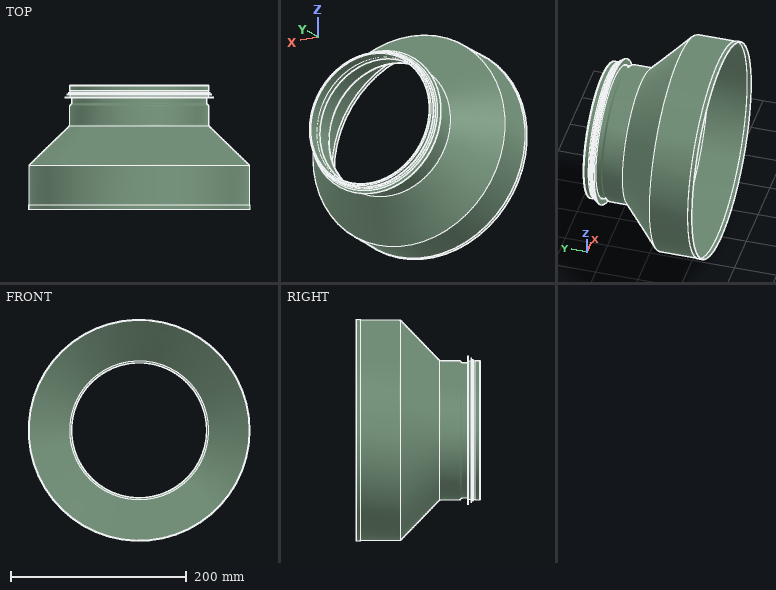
import cadquery as cq
import math


sheet = 0.5
total_length = 141.98

socket_inner_r = 125.2
socket_length = 50.55
socket_bend_r = 3.5
rim_hem_gap = 0.01
rim_hem_length = 5.1

spigot_inner_r = 79.0
spigot_length = 46.7
spigot_bend_r = 4.0

neck_inner_r = 76.6
neck_length = 21.3
neck_step_length = 2.5
step_bend_inner_r = 1.0
step_bend_outer_r = step_bend_inner_r + sheet
neck_hem_gap = spigot_inner_r - neck_inner_r - sheet
neck_hem_length = 6.4

gasket_inner_r = 77.7
gasket_outer_r = spigot_inner_r
small_fin_r = 80.6
large_fin_r = 82.2
flange_r = 84.7
small_fin_root = (7.85, 9.5)
small_fin_tip = (8.9, 9.55)
large_fin_root = (9.9, 11.2)
large_fin_tip = (10.4, 11.2)
flange_sides = (13.8, 15.1)

spigot_start = total_length - spigot_length
neck_start = total_length - neck_length
step_start = neck_start - neck_step_length


def hem_bend_r(gap):
    """Outer radius of the half-round fold that closes a hem."""
    return sheet + gap / 2


def outer_corner(before, corner, after):
    """Corner on the sheet's outer face that lies opposite an inner corner."""
    angle_in = math.atan2(corner[1] - before[1], corner[0] - before[0])
    angle_out = math.atan2(after[1] - corner[1], after[0] - corner[0])
    miter = sheet / math.cos((angle_out - angle_in) / 2)
    direction = (angle_in + angle_out) / 2 - math.pi / 2
    return (corner[0] + miter * math.cos(direction), corner[1] + miter * math.sin(direction))


def round_corner(face, corner, radius):
    """Fillet the corner of a flat face that lies at the given point."""
    point = cq.Vector(*corner)
    nearest = min(face.Vertices(), key=lambda vertex: (vertex.Center() - point).Length)
    return face.fillet2D(radius, [nearest])


def make_wall():
    """Socket, cone, spigot and neck, up to the start of the fold at either end."""
    rim = (socket_inner_r, hem_bend_r(rim_hem_gap))
    neck_end = (neck_inner_r, total_length - hem_bend_r(neck_hem_gap))
    inner = [
        (socket_inner_r, socket_length),
        (spigot_inner_r, spigot_start),
        (spigot_inner_r, step_start),
        (neck_inner_r, neck_start),
    ]
    path = [rim, *inner, neck_end]
    outer = [outer_corner(*stretch) for stretch in zip(path, path[1:], path[2:])]
    rim_outside = (rim[0] + sheet, rim[1])
    neck_end_outside = (neck_end[0] + sheet, neck_end[1])
    outline = [*path, neck_end_outside, *reversed(outer), rim_outside]
    wire = cq.Wire.makePolygon([cq.Vector(*point) for point in outline], close=True)
    face = cq.Face.makeFromWires(wire)

    socket_corner, spigot_corner, step_corner, neck_corner = outer
    face = round_corner(face, socket_corner, socket_bend_r)
    face = round_corner(face, spigot_corner, spigot_bend_r)
    face = round_corner(face, step_corner, step_bend_outer_r)
    face = round_corner(face, inner[2], step_bend_inner_r)
    face = round_corner(face, neck_corner, step_bend_inner_r)
    face = round_corner(face, inner[3], step_bend_outer_r)
    axis_start = cq.Vector(0, 0, 0)
    axis_end = cq.Vector(0, 1, 0)
    return cq.Workplane("XY").add(cq.Solid.revolve(face, 360, axis_start, axis_end))


def make_hem(inner_r, gap, edge_y, inward, length):
    """Edge folded outward and back on itself; inward is +1 or -1 along Y, into the part."""
    bend_r = hem_bend_r(gap)
    fold_r = inner_r + bend_r
    outer_r = fold_r + bend_r
    bend_y = edge_y + inward * bend_r
    leg_y = edge_y + inward * length
    return (
        cq.Workplane("XY")
        .moveTo(inner_r, bend_y)
        .threePointArc((fold_r, edge_y), (outer_r, bend_y))
        .lineTo(outer_r, leg_y)
        .lineTo(outer_r - sheet, leg_y)
        .lineTo(outer_r - sheet, bend_y)
        .threePointArc((fold_r, edge_y + inward * sheet), (inner_r + sheet, bend_y))
        .close()
        .revolve(360, (0, 0, 0), (0, 1, 0))
    )


def make_reducer():
    rim_hem = make_hem(socket_inner_r, rim_hem_gap, 0, 1, rim_hem_length)
    neck_hem = make_hem(neck_inner_r, neck_hem_gap, total_length, -1, neck_hem_length)
    return make_wall().union(rim_hem).union(neck_hem).solids()


def make_gasket():
    """Rubber ring held under the neck's hem, with the near sides of its fins raked back."""
    fins = (
        (small_fin_root, small_fin_tip, small_fin_r),
        (large_fin_root, large_fin_tip, large_fin_r),
        (flange_sides, flange_sides, flange_r),
    )
    start = hem_bend_r(neck_hem_gap)
    end = flange_sides[1]
    outline = [(gasket_inner_r, start), (gasket_outer_r, start)]
    for root, tip, tip_r in fins:
        outline += [(gasket_outer_r, root[0]), (tip_r, tip[0]), (tip_r, tip[1]), (gasket_outer_r, root[1])]
    outline[-1] = (gasket_inner_r, end)
    points = [(radius, total_length - distance) for radius, distance in outline]
    return cq.Workplane("XY").polyline(points).close().revolve(360, (0, 0, 0), (0, 1, 0))


reducer = make_reducer()
gasket = make_gasket()
result = cq.Compound.makeCompound([reducer.val(), gasket.val()])